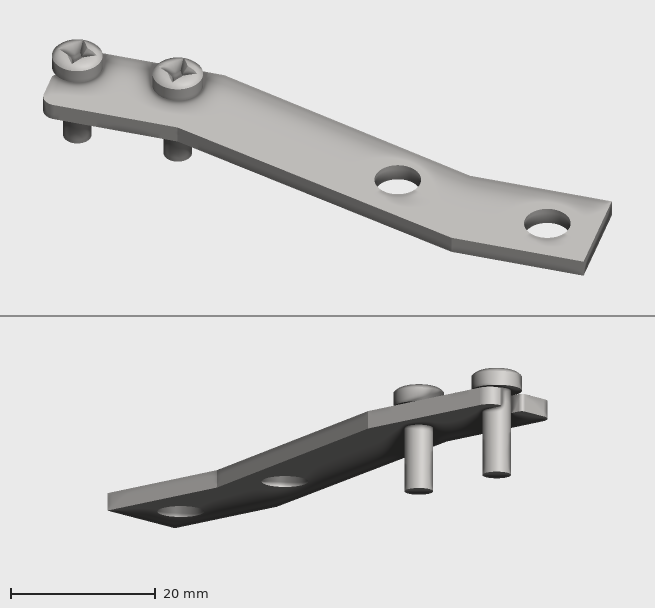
import cadquery as cq
import math

plate_thickness = 2.5
plate_left = 0.6
plate_right = 82.7
arm_width = 13.0
tail_top = -12.0
tail_bottom = -26.0
upper_bend_start = 23.4
upper_bend_end = 62.3
lower_bend_start = 20.4
lower_bend_end = 63.7
corner_radius = 2.0
mounting_hole_diameter = 6.45
mounting_holes = [(52.95, -15.6), (75.5, -19.2)]

head_diameter = 7.0
head_rim_height = 2.0
head_crown_height = 0.75
crown_flat_radius = 2.0
shank_diameter = 4.0
head_gap = 0.5
shank_bottom = -9.0
screw_count = 2
screw_spacing = 14.5
screw_y = -4.5
first_screw_x = head_diameter / 2
screw_positions = [(first_screw_x + i * screw_spacing, screw_y) for i in range(screw_count)]
slot_mouth_radius = 0.6
mouth_margin = 0.1

star_tips = 4
recess_depth = 1.2
recess_top_tip = 3.0
recess_top_waist = 1.6
recess_floor_tip = 1.4
recess_floor_waist = 0.7


def plate_blank():
    outline = [
        (plate_left, 0),
        (upper_bend_start, 0),
        (upper_bend_end, tail_top),
        (plate_right, tail_top),
        (plate_right, tail_bottom),
        (lower_bend_end, tail_bottom),
        (lower_bend_start, -arm_width),
        (plate_left, -arm_width),
    ]
    blank = cq.Workplane("XY").polyline(outline).close().extrude(plate_thickness)
    return blank.edges("|Z and <X").fillet(corner_radius)


def open_slot():
    """Cutter from the left edge of the plate to the first screw."""
    length = first_screw_x - plate_left
    return (
        cq.Workplane("XY")
        .center(plate_left + length / 2, screw_y)
        .rect(length, shank_diameter)
        .extrude(plate_thickness)
    )


def make_plate():
    plate = plate_blank().cut(open_slot())
    mouth_corners = cq.selectors.BoxSelector(
        (plate_left - mouth_margin, screw_y - shank_diameter / 2 - mouth_margin, 0),
        (plate_left + mouth_margin, screw_y + shank_diameter / 2 + mouth_margin, plate_thickness),
    )
    plate = plate.edges("|Z").edges(mouth_corners).fillet(slot_mouth_radius)
    screw_holes = (
        cq.Workplane("XY").pushPoints(screw_positions).circle(shank_diameter / 2).extrude(plate_thickness)
    )
    bolt_holes = (
        cq.Workplane("XY")
        .pushPoints(mounting_holes)
        .circle(mounting_hole_diameter / 2)
        .extrude(plate_thickness)
    )
    return plate.cut(screw_holes).cut(bolt_holes)


def star(tip_radius, waist_radius):
    """Corner points of a four-pointed star, tips on the X and Y axes."""
    points = []
    for i in range(2 * star_tips):
        radius = tip_radius if i % 2 == 0 else waist_radius
        angle = i * math.pi / star_tips
        points.append((radius * math.cos(angle), radius * math.sin(angle)))
    return points


def driver_recess(head_top):
    """Tapered star cutter that narrows towards its flat floor."""
    return (
        cq.Workplane("XY", origin=(0, 0, head_top - recess_depth))
        .polyline(star(recess_floor_tip, recess_floor_waist))
        .close()
        .workplane(offset=recess_depth)
        .polyline(star(recess_top_tip, recess_top_waist))
        .close()
        .loft(ruled=True)
    )


def make_screw():
    head_radius = head_diameter / 2
    shank_radius = shank_diameter / 2
    head_bottom = plate_thickness + head_gap
    rim_top = head_bottom + head_rim_height
    head_top = rim_top + head_crown_height

    crown_run = head_radius - crown_flat_radius
    crown_radius = (crown_run**2 + head_crown_height**2) / (2 * head_crown_height)
    half_angle = math.atan2(head_crown_height, crown_run)
    crown_middle = (
        crown_flat_radius + crown_radius * math.sin(half_angle),
        head_top - crown_radius * (1 - math.cos(half_angle)),
    )
    profile = (
        cq.Workplane("XZ")
        .moveTo(0, shank_bottom)
        .lineTo(shank_radius, shank_bottom)
        .lineTo(shank_radius, head_bottom)
        .lineTo(head_radius, head_bottom)
        .lineTo(head_radius, rim_top)
        .threePointArc(crown_middle, (crown_flat_radius, head_top))
        .lineTo(0, head_top)
        .close()
    )
    return profile.revolve(360, (0, 0, 0), (0, 1, 0)).cut(driver_recess(head_top))


plate = make_plate()
screws = [make_screw().translate((x, y, 0)) for x, y in screw_positions]

result = cq.Compound.makeCompound([plate.val(), *[screw.val() for screw in screws]])